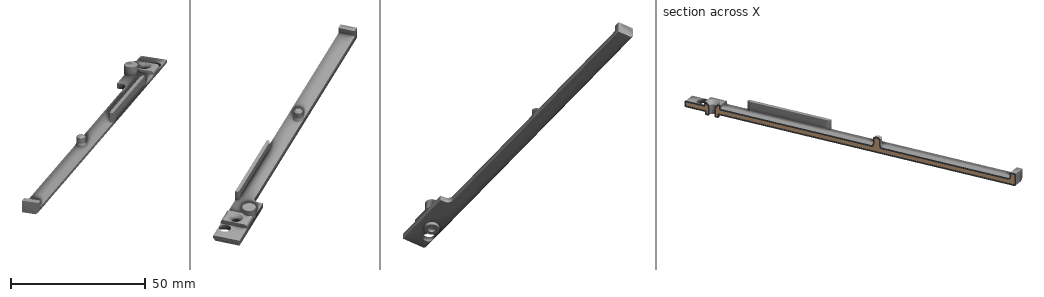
import cadquery as cq


root_radius = 0.4

length = 140.5
head_width = 10.4
bar_left = 4.0
thickness = 2.2
head_length = 25.7
neck_radius = 2.2
bottom_edge_chamfer = 1.0

hook_length = 2.4
hook_height = 4.8

pad_start = length - 8.3
pad_length = 6.6
pad_height = 1.7
pad_rounding = 1.1

screw_x = 5.5
screw_y = length - 11.4
boss_diameter = 5.6
boss_depth = 1.3
screw_diameter = 2.8
sink_diameter = 5.5

hole_x = 7.9
hole_y = length - 5.9
hole_diameter = 4.5

top_level = 6.2
peg_diameter = 5.0
peg_overhang = 0.4
peg_x = peg_diameter / 2 - peg_overhang
peg_y = length - 16.5

rail_width = 1.4
rail_start = length - 24.2
rail_length = 35.1
rail_taper_length = 1.3
rail_taper_depth = 0.4

pin_x = 5.9
pin_y = length - 81.5
pin_diameter = 3.2
pin_chamfer = 0.5
foot_diameter = 4.1
foot_height = 1.1


def box(x0, x1, y0, y1, z0, z1):
    """Box between the given limits."""
    return cq.Workplane("XY").box(x1 - x0, y1 - y0, z1 - z0, centered=False).translate((x0, y0, z0))


def cylinder(x, y, diameter, z0, z1):
    """Upright cylinder between two levels."""
    return cq.Workplane("XY", origin=(x, y, z0)).circle(diameter / 2).extrude(z1 - z0)


def make_plate():
    neck_y = length - head_length
    plate = (
        cq.Workplane("XY")
        .moveTo(bar_left, 0)
        .lineTo(head_width, 0)
        .lineTo(head_width, length)
        .lineTo(0, length)
        .lineTo(0, neck_y)
        .lineTo(bar_left - neck_radius, neck_y)
        .radiusArc((bar_left, neck_y - neck_radius), neck_radius)
        .close()
        .extrude(thickness)
    )
    hook = box(bar_left, head_width, 0, hook_length, 0, hook_height)
    return plate.union(hook).faces(">X").edges("<Z").chamfer(bottom_edge_chamfer)


def make_pad():
    pad = box(0, head_width, pad_start - pad_length, pad_start, thickness, thickness + pad_height)
    return pad.edges("|Y and >Z").fillet(pad_rounding)


def root_profile(plane, wall, direction, origin):
    """Concave fillet section against a wall; direction is the side of the wall it lies on."""
    tip = wall + direction * root_radius
    return (
        cq.Workplane(plane, origin=origin)
        .moveTo(wall, thickness)
        .lineTo(tip, thickness)
        .radiusArc((wall, thickness + root_radius), direction * root_radius)
        .close()
    )


def make_hook_and_pad_roots():
    hook_root = root_profile("YZ", hook_length, 1, (bar_left, 0, 0)).extrude(head_width - bar_left)
    pad_root = root_profile("YZ", pad_start - pad_length, -1, (0, 0, 0)).extrude(head_width)
    return hook_root.union(pad_root)


def make_peg():
    peg = cylinder(peg_x, peg_y, peg_diameter, thickness, top_level)
    root = root_profile("XZ", peg_diameter / 2, 1, (peg_x, peg_y, 0)).revolve(360, (0, 0, 0), (0, 1, 0))
    over_plate = box(0, head_width, 0, length, thickness, top_level)
    return peg.union(root.intersect(over_plate))


def make_rail():
    left = head_width - rail_width
    end = rail_start - rail_length
    rail = (
        cq.Workplane("XY", origin=(0, 0, thickness))
        .moveTo(head_width, rail_start)
        .lineTo(left + rail_taper_depth, rail_start)
        .lineTo(left, rail_start - rail_taper_length)
        .lineTo(left, end + rail_taper_length)
        .lineTo(left + rail_taper_depth, end)
        .lineTo(head_width, end)
        .close()
        .extrude(top_level - thickness)
    )
    straight_length = rail_length - 2 * rail_taper_length
    root = root_profile("XZ", left, -1, (0, rail_start - rail_taper_length, 0)).extrude(straight_length)
    return rail.union(root)


def make_pin():
    pin = cylinder(pin_x, pin_y, pin_diameter, thickness, top_level).faces(">Z").chamfer(pin_chamfer)
    foot = (
        cq.Workplane("XY", origin=(pin_x, pin_y, thickness))
        .circle(foot_diameter / 2)
        .workplane(offset=foot_height)
        .circle(pin_diameter / 2)
        .loft()
    )
    return pin.union(foot)


def make_screw_hole():
    pad_top = thickness + pad_height
    sink_depth = (sink_diameter - screw_diameter) / 2
    sink = (
        cq.Workplane("XY", origin=(screw_x, screw_y, pad_top))
        .circle(sink_diameter / 2)
        .workplane(offset=-sink_depth)
        .circle(screw_diameter / 2)
        .loft()
    )
    return cylinder(screw_x, screw_y, screw_diameter, -boss_depth, pad_top).union(sink)


body = make_plate().union(make_pad()).union(make_hook_and_pad_roots())
body = body.union(cylinder(screw_x, screw_y, boss_diameter, -boss_depth, thickness))
body = body.cut(make_screw_hole())
body = body.cut(cylinder(hole_x, hole_y, hole_diameter, 0, thickness))
result = body.union(make_peg()).union(make_rail()).union(make_pin())